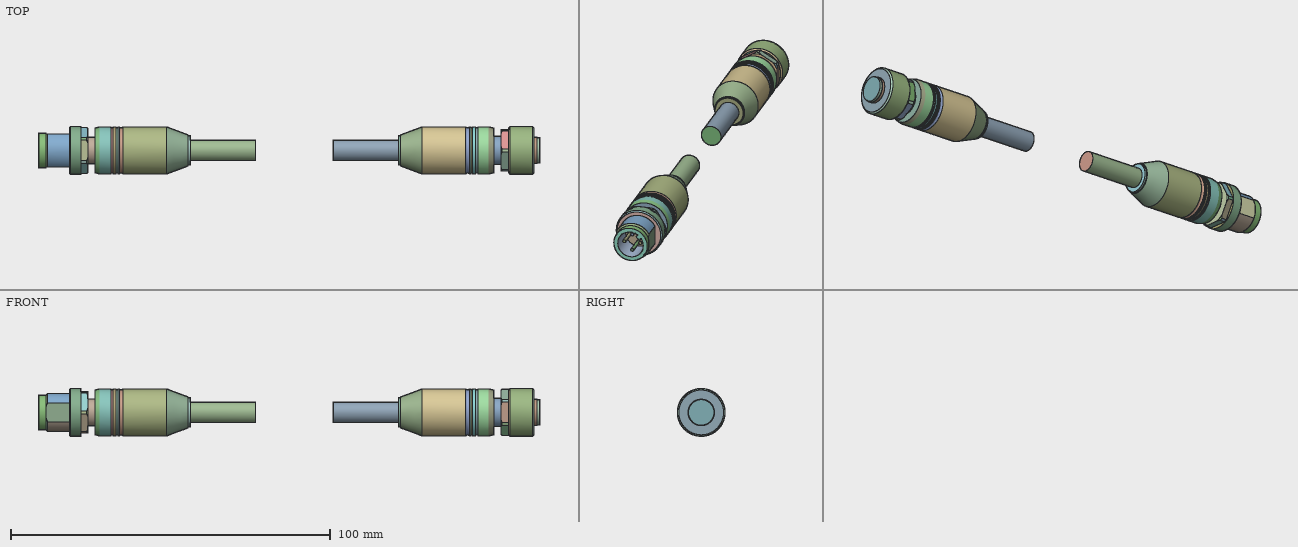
import cadquery as cq
import math

TOTAL_LENGTH = 156.7
MAX_DIAMETER = 15.0

GRIP_DIAMETER = 14.8
GRIP_NOSE_DIAMETER = 14.0
GRIP_NOSE_LENGTH = 1.5
GRIP_BARREL_END = 22.4
CONE_LENGTH = 6.7
COLLAR_DIAMETER = 9.2
COLLAR_LENGTH = 0.7
CONE_END_DIAMETER = 9.8
CABLE_DIAMETER = 6.4
CABLE_LENGTH = 20.4
GROOVE_DEPTH = 0.3
NARROW_GROOVES = [(5.0, 0.7), (6.6, 0.6)]
WIDE_GROOVE_START = 7.6
WIDE_GROOVE_WIDTH = 1.2

PLUG_NECK_DIAMETER = 8.4
SOCKET_NECK_DIAMETER = 8.9

HEX_ACROSS_FLATS = 13.0
HEX_CORNER_DIAMETER = 14.5
HEX_CHAMFER = 0.4

TIP_DIAMETER = 10.9
TIP_LENGTH = 2.3
TIP_BEVEL = 0.5
SHELL_DIAMETER = 12.0
SHELL_ACROSS_FLATS = 10.4
FLANGE_START = 9.6
FLANGE_END = 13.2
FLANGE_CHAMFER = 0.4
PLUG_HEX_END = 15.4
PLUG_GRIP_START = 17.6
CAVITY_DIAMETER = 8.3
CAVITY_DEPTH = 9.0
KEY_WIDTH = 1.5
KEY_HEIGHT = 0.9
KEY_WALL_OVERLAP = 0.3
KEY_ANGLE = 45.0
PIN_DIAMETER = 1.0
PIN_CIRCLE_DIAMETER = 5.2
PIN_COUNT = 4
PIN_RECESS = 2.0

INSERT_DIAMETER = 8.3
INSERT_TIP_LENGTH = 0.9
INSERT_TIP_DIAMETER = 8.0
SLEEVE_START = 1.8
SLEEVE_CHAMFER = 0.5
SLEEVE_END = 9.8
SOCKET_HEX_END = 12.2
SOCKET_GRIP_START = 14.4


def cylinder(start, end, diameter):
    return cq.Workplane("YZ", origin=(start, 0, 0)).circle(diameter / 2).extrude(end - start)


def revolve_about_x(profile):
    """Turn a closed (station, radius) outline into a solid of revolution about X."""
    return cq.Workplane("XY").polyline(profile).close().revolve(360, (0, 0, 0), (1, 0, 0))


def hex_section(start, end, turn):
    """Hexagon with cylindrically trimmed corners, chamfered at its far end."""
    across_corners = HEX_ACROSS_FLATS / math.cos(math.radians(30))
    prism = (
        cq.Workplane("YZ", origin=(start, 0, 0))
        .polygon(6, across_corners)
        .extrude(end - start)
        .rotate((0, 0, 0), (1, 0, 0), turn)
    )
    blank = cylinder(start, end, HEX_CORNER_DIAMETER).faces(">X").chamfer(HEX_CHAMFER)
    return prism.intersect(blank)


def grip_and_cable(start):
    """Ribbed grip, cone, collar and cable stub running in +X from the given station."""
    radius = GRIP_DIAMETER / 2
    cone_end = GRIP_BARREL_END + CONE_LENGTH
    collar_end = cone_end + COLLAR_LENGTH
    body = revolve_about_x([
        (0, 0),
        (0, GRIP_NOSE_DIAMETER / 2),
        (GRIP_NOSE_LENGTH, radius),
        (GRIP_BARREL_END, radius),
        (cone_end, CONE_END_DIAMETER / 2),
        (cone_end, COLLAR_DIAMETER / 2),
        (collar_end, COLLAR_DIAMETER / 2),
        (collar_end, CABLE_DIAMETER / 2),
        (collar_end + CABLE_LENGTH, CABLE_DIAMETER / 2),
        (collar_end + CABLE_LENGTH, 0),
    ])
    floor = radius - GROOVE_DEPTH
    for groove_start, width in NARROW_GROOVES:
        body = body.cut(revolve_about_x([
            (groove_start, floor),
            (groove_start, MAX_DIAMETER),
            (groove_start + width, MAX_DIAMETER),
            (groove_start + width, floor),
        ]))
    wide_groove = (
        cq.Workplane("XY")
        .moveTo(WIDE_GROOVE_START, radius)
        .threePointArc(
            (WIDE_GROOVE_START + WIDE_GROOVE_WIDTH / 2, floor),
            (WIDE_GROOVE_START + WIDE_GROOVE_WIDTH, radius),
        )
        .close()
        .revolve(360, (0, 0, 0), (1, 0, 0))
    )
    body = body.cut(wide_groove)
    return body.translate((start, 0, 0))


def plug_shell():
    """Nose of the plug: round tip, then a shell with two flats facing -Y and +Y."""
    shell = revolve_about_x([
        (0, 0),
        (0, TIP_DIAMETER / 2),
        (TIP_LENGTH, TIP_DIAMETER / 2),
        (TIP_LENGTH + TIP_BEVEL, SHELL_DIAMETER / 2),
        (FLANGE_START, SHELL_DIAMETER / 2),
        (FLANGE_START, 0),
    ])
    flatted_length = FLANGE_START - TIP_LENGTH
    flatted = cq.Workplane("XY").box(
        flatted_length, SHELL_ACROSS_FLATS, SHELL_DIAMETER, centered=(False, True, True)
    ).translate((TIP_LENGTH, 0, 0))
    return shell.intersect(flatted.union(cylinder(0, TIP_LENGTH, TIP_DIAMETER)))


def plug_contacts():
    """Round contact pins standing on the cavity floor."""
    return (
        cq.Workplane("YZ", origin=(PIN_RECESS, 0, 0))
        .polarArray(PIN_CIRCLE_DIAMETER / 2, 0, 360, PIN_COUNT)
        .circle(PIN_DIAMETER / 2)
        .extrude(CAVITY_DEPTH - PIN_RECESS)
    )


def plug_key():
    """Coding rib along the cavity wall."""
    key_depth = KEY_HEIGHT + KEY_WALL_OVERLAP
    rib_centre = CAVITY_DIAMETER / 2 - KEY_HEIGHT + key_depth / 2
    rib = cq.Workplane("XY").box(
        CAVITY_DEPTH, key_depth, KEY_WIDTH, centered=(False, True, True)
    )
    return rib.translate((0, -rib_centre, 0)).rotate((0, 0, 0), (1, 0, 0), -KEY_ANGLE)


def make_plug():
    flange = cylinder(FLANGE_START, FLANGE_END, MAX_DIAMETER).faces("<X").chamfer(FLANGE_CHAMFER)
    return (
        plug_shell()
        .union(flange)
        .union(hex_section(FLANGE_END, PLUG_HEX_END, 0))
        .union(cylinder(PLUG_HEX_END, PLUG_GRIP_START, PLUG_NECK_DIAMETER))
        .union(grip_and_cable(PLUG_GRIP_START))
        .cut(cylinder(0, CAVITY_DEPTH, CAVITY_DIAMETER))
        .union(plug_contacts())
        .union(plug_key())
    )


def make_socket():
    """Built facing -X like the plug, then mirrored to the far end of the layout."""
    sleeve = cylinder(SLEEVE_START, SLEEVE_END, MAX_DIAMETER).edges("%CIRCLE").chamfer(SLEEVE_CHAMFER)
    socket = (
        cylinder(0, INSERT_TIP_LENGTH, INSERT_TIP_DIAMETER)
        .union(cylinder(INSERT_TIP_LENGTH, SLEEVE_START, INSERT_DIAMETER))
        .union(sleeve)
        .union(hex_section(SLEEVE_END, SOCKET_HEX_END, 90))
        .union(cylinder(SOCKET_HEX_END, SOCKET_GRIP_START, SOCKET_NECK_DIAMETER))
        .union(grip_and_cable(SOCKET_GRIP_START))
    )
    return socket.mirror("YZ").translate((TOTAL_LENGTH, 0, 0))


plug = make_plug()
socket = make_socket()

result = cq.Compound.makeCompound([plug.val(), socket.val()])